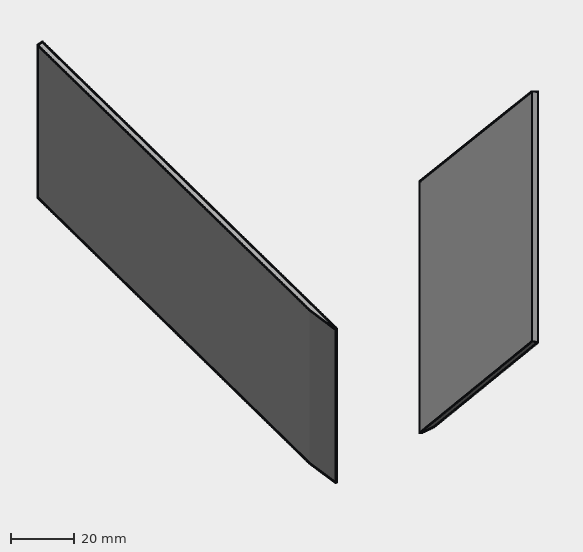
import cadquery as cq
import math

length = 146.2
depth = 6.56
height = 81.19

end_thickness = 2.0
tip_thickness = 0.55
taper_length = 11.2
bottom_angle = 5.0

taper_start = length - taper_length
lean = (depth - end_thickness) / taper_start
tip_back = depth - lean * length


def leaning_plate():
    """Flat-faced plate with its front thinned toward the +X end."""
    outline = [
        (0, depth),
        (0, depth - end_thickness),
        (taper_start, 0),
        (length, tip_back - tip_thickness),
        (length, tip_back),
    ]
    return cq.Workplane("XY").polyline(outline).close().extrude(height)


def bottom_wedge():
    """Waste below the sloped bottom edge, zero at the lowest front line."""
    rise = depth * math.tan(math.radians(bottom_angle))
    triangle = [(0, 0), (depth, 0), (depth, rise)]
    return cq.Workplane("YZ").polyline(triangle).close().extrude(length)


result = leaning_plate().cut(bottom_wedge())